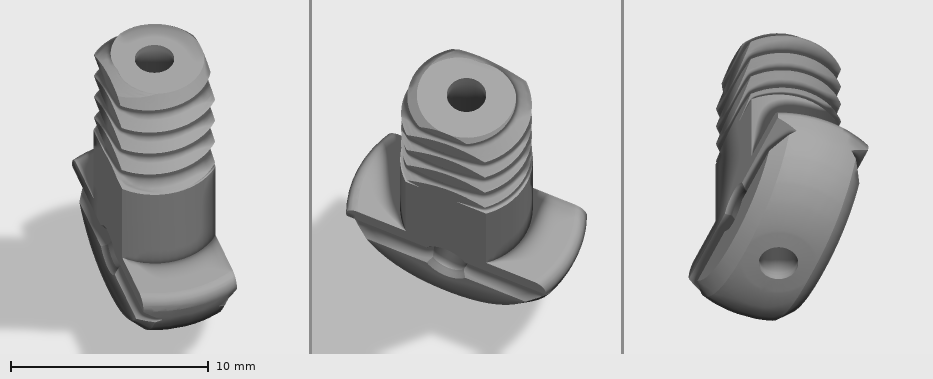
import cadquery as cq
import math

total_height = 16.23
body_thickness = 5.0
half_thickness = body_thickness / 2
slab_width = 14.6
bore_diameter = 2.0

head_height = 4.98
bowl_arc_radius = 5.18
bowl_flat_radius = 0.99
rim_radius = 0.6
edge_chamfer_on_flat = 0.4
edge_chamfer_on_bowl = 0.7

groove_z = 3.42
groove_half_height = 0.75
groove_depth = 0.99
countersink = 0.31

shank_diameter = 6.72
shank_top = 9.87

thread_crest_radius = 3.31
thread_pitch = 1.5
flank_angle = 30.0
spiral_steps = 16
thread_depth = thread_pitch / 2 / math.tan(math.radians(flank_angle))
thread_length = total_height - shank_top
tip_radius = 2.52


def make_head():
    """Revolve the bowl profile about Z; the rim arc is tangent to the bowl arc and the top face."""
    arc_center_z = bowl_arc_radius
    rim_center_z = head_height - rim_radius
    center_distance = bowl_arc_radius - rim_radius
    drop = arc_center_z - rim_center_z
    rim_center_r = bowl_flat_radius + math.sqrt(center_distance**2 - drop**2)
    join_angle = math.asin(drop / center_distance)

    def on_bowl(angle_below_horizontal):
        return (
            bowl_flat_radius + bowl_arc_radius * math.cos(angle_below_horizontal),
            arc_center_z - bowl_arc_radius * math.sin(angle_below_horizontal),
        )

    rim_mid_angle = (math.pi / 2 - join_angle) / 2
    rim_mid = (
        rim_center_r + rim_radius * math.cos(rim_mid_angle),
        rim_center_z + rim_radius * math.sin(rim_mid_angle),
    )
    return (
        cq.Workplane("XZ")
        .lineTo(bowl_flat_radius, 0)
        .threePointArc(on_bowl((join_angle + math.pi / 2) / 2), on_bowl(join_angle))
        .threePointArc(rim_mid, (rim_center_r, head_height))
        .lineTo(0, head_height)
        .close()
        .revolve(360, (0, 0, 0), (0, 1, 0))
    )


def trim_to_flats(solid):
    """Keep only what lies between the two flats."""
    slab = cq.Workplane("XY").box(
        slab_width, body_thickness, total_height, centered=(True, True, False)
    )
    return solid.intersect(slab)


def cut_grooves(head):
    """Cut a V groove along X into each flat of the head."""
    for side in (-1, 1):
        face_y = side * half_thickness
        groove = (
            cq.Workplane("YZ")
            .polyline([
                (face_y, groove_z - groove_half_height),
                (face_y - side * groove_depth, groove_z),
                (face_y, groove_z + groove_half_height),
            ])
            .close()
            .extrude(slab_width / 2, both=True)
        )
        head = head.cut(groove)
    return head


def chamfer_bowl_edges(head):
    """Bevel the lower curved edge of each flat, wider on the bowl than on the flat."""
    for side in ("<Y", ">Y"):
        lower_flat = head.faces(side).faces("<Z")
        curved_edge = lower_flat.edges("not %LINE").val()
        beveled = head.val().chamfer(edge_chamfer_on_bowl, edge_chamfer_on_flat, [curved_edge])
        head = cq.Workplane(beveled)
    return head


def make_cross_hole():
    """Hole along Y with a 45 degree countersink on both flats."""
    radius = bore_diameter / 2
    return (
        cq.Workplane("XY")
        .moveTo(0, -half_thickness)
        .lineTo(radius + countersink, -half_thickness)
        .lineTo(radius, countersink - half_thickness)
        .lineTo(radius, half_thickness - countersink)
        .lineTo(radius + countersink, half_thickness)
        .lineTo(0, half_thickness)
        .close()
        .revolve(360, (0, 0, 0), (0, 1, 0))
        .translate((0, 0, groove_z))
    )


def make_thread():
    """A horizontal cut through a V thread is a pair of spirals from crest to root; twist it upward."""
    def spiral_point(step, side):
        turned = step / spiral_steps
        radius = thread_crest_radius - thread_depth * turned
        return (radius * math.cos(math.pi * turned), side * radius * math.sin(math.pi * turned))

    left_spiral = [spiral_point(step, 1) for step in range(1, spiral_steps)]
    right_spiral = [spiral_point(step, -1) for step in range(spiral_steps - 1, 0, -1)]
    crest = (thread_crest_radius, 0)
    root = (thread_depth - thread_crest_radius, 0)
    section = (
        cq.Workplane("XY")
        .workplane(offset=shank_top)
        .moveTo(*crest)
        .spline(left_spiral + [root], includeCurrent=True)
        .spline(right_spiral + [crest], includeCurrent=True)
        .wire()
    )
    thread = section.twistExtrude(thread_length, 360 * thread_length / thread_pitch)
    tip_cone = cq.Solid.makeCone(
        tip_radius + thread_length, tip_radius, thread_length, cq.Vector(0, 0, shank_top)
    )
    return thread.intersect(cq.Workplane(tip_cone))


head = chamfer_bowl_edges(cut_grooves(trim_to_flats(make_head())))
shank = (
    cq.Workplane("XY")
    .workplane(offset=head_height)
    .circle(shank_diameter / 2)
    .extrude(shank_top - head_height)
)
upper = trim_to_flats(shank.union(make_thread()))
bore = cq.Workplane("XY").circle(bore_diameter / 2).extrude(total_height)

result = head.union(upper).cut(make_cross_hole()).cut(bore)